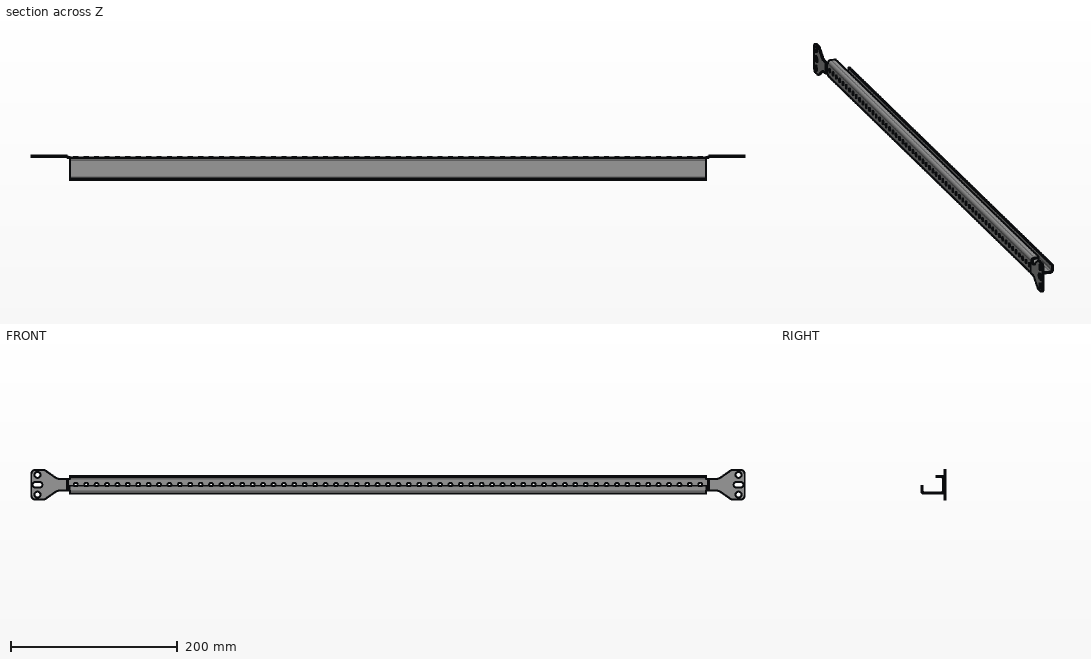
import cadquery as cq

TOTAL_LENGTH = 857.0
TOTAL_DEPTH = 29.76
PLATE_HEIGHT = 36.0

SHEET = 2.0
INNER_BEND = 2.0
OUTER_BEND = INNER_BEND + SHEET
RAIL_LENGTH = 764.0
RAIL_HEIGHT = 22.0
FLANGE_END_DEPTH = 11.76
LIP_TOP_Z = -1.25
WEB_SETBACK = 1.76

WEB_HOLE_DIAMETER = 4.5
WEB_HOLE_PITCH = 12.5
WEB_HOLE_COUNT = 61

PLATE_FLAT_LENGTH = 15.75
TAPER_END = 31.6
PLATE_CORNER_RADIUS = 5.0
SHOULDER_RADIUS = 4.0
NECK_RADIUS = 10.0
NECK_HEIGHT = RAIL_HEIGHT - 2 * OUTER_BEND
JOG_START = 42.5
JOG_END = JOG_START + WEB_SETBACK
PLATE_HOLE_INSET = 7.5
SLOT_LENGTH = 11.5
SLOT_HEIGHT = 6.5
OUTER_HOLE_DIAMETER = 7.0
OUTER_HOLE_OFFSET = 11.85

END_X = TOTAL_LENGTH / 2
RAIL_END_X = RAIL_LENGTH / 2
BACK_Y = TOTAL_DEPTH / 2
LIP_FRONT_Y = -TOTAL_DEPTH / 2
LIP_BACK_Y = LIP_FRONT_Y + SHEET
WEB_BACK_Y = BACK_Y - WEB_SETBACK
WEB_FRONT_Y = WEB_BACK_Y - SHEET
FLANGE_END_Y = BACK_Y - FLANGE_END_DEPTH
OUTER_Z = RAIL_HEIGHT / 2
INNER_Z = OUTER_Z - SHEET
BEND_Z = OUTER_Z - OUTER_BEND


def make_rail():
    """Channel with a short top flange and a deep bottom flange that ends in an upright lip."""
    return (
        cq.Workplane("YZ", origin=(-RAIL_END_X, 0, 0))
        .moveTo(FLANGE_END_Y, OUTER_Z)
        .lineTo(WEB_BACK_Y - OUTER_BEND, OUTER_Z)
        .radiusArc((WEB_BACK_Y, BEND_Z), OUTER_BEND)
        .lineTo(WEB_BACK_Y, -BEND_Z)
        .radiusArc((WEB_BACK_Y - OUTER_BEND, -OUTER_Z), OUTER_BEND)
        .lineTo(LIP_FRONT_Y + OUTER_BEND, -OUTER_Z)
        .radiusArc((LIP_FRONT_Y, -BEND_Z), OUTER_BEND)
        .lineTo(LIP_FRONT_Y, LIP_TOP_Z)
        .lineTo(LIP_BACK_Y, LIP_TOP_Z)
        .lineTo(LIP_BACK_Y, -BEND_Z)
        .radiusArc((LIP_BACK_Y + INNER_BEND, -INNER_Z), -INNER_BEND)
        .lineTo(WEB_FRONT_Y - INNER_BEND, -INNER_Z)
        .radiusArc((WEB_FRONT_Y, -BEND_Z), -INNER_BEND)
        .lineTo(WEB_FRONT_Y, BEND_Z)
        .radiusArc((WEB_FRONT_Y - INNER_BEND, INNER_Z), -INNER_BEND)
        .lineTo(FLANGE_END_Y, INNER_Z)
        .close()
        .extrude(RAIL_LENGTH)
    )


def make_web_holes():
    """Row of cylinders that pass through the web only."""
    return (
        cq.Workplane("XZ", origin=(0, WEB_BACK_Y, 0))
        .rarray(WEB_HOLE_PITCH, 1, WEB_HOLE_COUNT, 1)
        .circle(WEB_HOLE_DIAMETER / 2)
        .extrude(SHEET)
    )


def edges_at(x):
    """Selector for the edges whose middle lies at the given X, within a small margin."""
    margin = 0.5
    reach = TOTAL_LENGTH
    return cq.selectors.BoxSelector((x - margin, -reach, -reach), (x + margin, reach, reach))


def make_strip_outline():
    """Front outline of the right-hand end plate and its neck, as a deep block."""
    plate_z = PLATE_HEIGHT / 2
    neck_z = NECK_HEIGHT / 2
    flat_x = END_X - PLATE_FLAT_LENGTH
    taper_x = END_X - TAPER_END
    return (
        cq.Workplane("XZ", origin=(0, BACK_Y, 0))
        .moveTo(RAIL_END_X, neck_z)
        .lineTo(taper_x, neck_z)
        .lineTo(flat_x, plate_z)
        .lineTo(END_X, plate_z)
        .lineTo(END_X, -plate_z)
        .lineTo(flat_x, -plate_z)
        .lineTo(taper_x, -neck_z)
        .lineTo(RAIL_END_X, -neck_z)
        .close()
        .extrude(TOTAL_DEPTH)
        .edges("|Y and >X")
        .fillet(PLATE_CORNER_RADIUS)
        .edges(edges_at(flat_x))
        .fillet(SHOULDER_RADIUS)
        .edges(edges_at(taper_x))
        .fillet(NECK_RADIUS)
    )


def make_strip_section():
    """Sheet that runs from the web, through the jog, back to the plane of the plate."""
    jog_start_x = END_X - JOG_START
    jog_end_x = END_X - JOG_END
    return (
        cq.Workplane("XY", origin=(0, 0, -PLATE_HEIGHT / 2))
        .moveTo(END_X, BACK_Y)
        .lineTo(jog_start_x, BACK_Y)
        .lineTo(jog_end_x, WEB_BACK_Y)
        .lineTo(RAIL_END_X, WEB_BACK_Y)
        .lineTo(RAIL_END_X, WEB_FRONT_Y)
        .lineTo(jog_end_x, WEB_FRONT_Y)
        .lineTo(jog_start_x, BACK_Y - SHEET)
        .lineTo(END_X, BACK_Y - SHEET)
        .close()
        .extrude(PLATE_HEIGHT)
    )


def make_plate_holes():
    """Level slot in the middle of the plate and a round hole above and below it."""
    plate_face = cq.Workplane("XZ", origin=(END_X - PLATE_HOLE_INSET, BACK_Y, 0))
    slot = plate_face.slot2D(SLOT_LENGTH, SLOT_HEIGHT).extrude(SHEET)
    round_holes = (
        plate_face.pushPoints([(0, OUTER_HOLE_OFFSET), (0, -OUTER_HOLE_OFFSET)])
        .circle(OUTER_HOLE_DIAMETER / 2)
        .extrude(SHEET)
    )
    return slot.union(round_holes)


def make_end_plate():
    """Right-hand end plate with its neck."""
    return make_strip_outline().intersect(make_strip_section()).cut(make_plate_holes())


end_plate = make_end_plate()
rail = make_rail().cut(make_web_holes())
result = rail.union(end_plate).union(end_plate.mirror("YZ"))